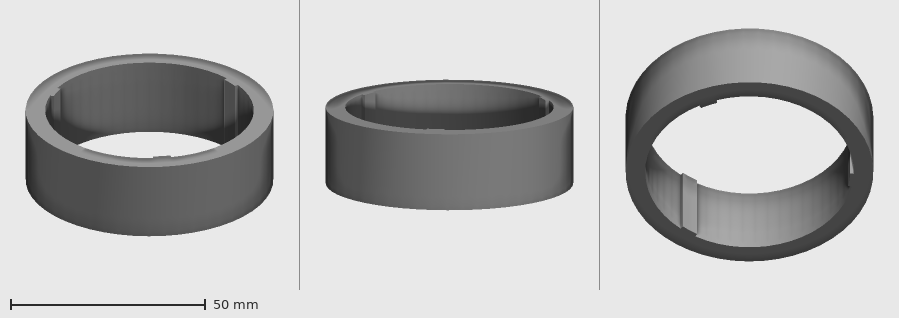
import cadquery as cq
import math

outer_radius = 31.8
bore_radius = 26.8
height = 20.0

key_count = 3
key_rise = 0.95
key_start_angle = 80.0
key_sweep = 10.0
wall_overlap = 0.65


def polar(radius, angle):
    """Point at a radius and an angle in degrees."""
    radians = math.radians(angle)
    return radius * math.cos(radians), radius * math.sin(radians)


def make_key(start_angle):
    """Annular sector that forms one key on the bore."""
    tip_radius = bore_radius - key_rise
    root_radius = bore_radius + wall_overlap
    middle_angle = start_angle + key_sweep / 2
    end_angle = start_angle + key_sweep
    return (
        cq.Workplane("XY")
        .moveTo(*polar(tip_radius, start_angle))
        .lineTo(*polar(root_radius, start_angle))
        .threePointArc(polar(root_radius, middle_angle), polar(root_radius, end_angle))
        .lineTo(*polar(tip_radius, end_angle))
        .threePointArc(polar(tip_radius, middle_angle), polar(tip_radius, start_angle))
        .close()
        .extrude(height)
    )


result = cq.Workplane("XY").circle(outer_radius).circle(bore_radius).extrude(height)

for index in range(key_count):
    result = result.union(make_key(key_start_angle + index * 360.0 / key_count))